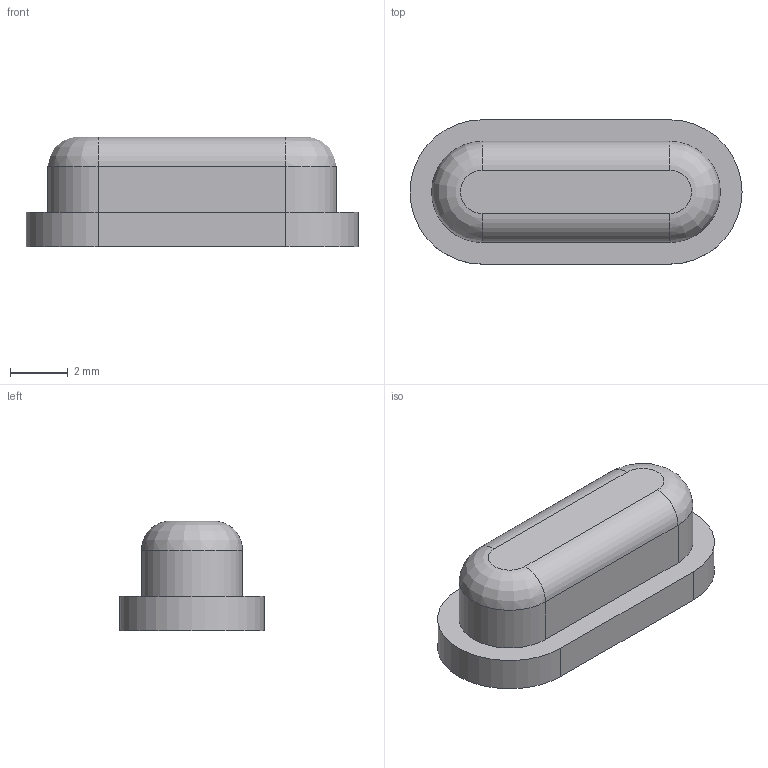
import cadquery as cq

straight_length = 6.5
flange_width = 5.0
flange_thickness = 1.2
button_width = 3.5
total_height = 3.8
top_edge_radius = 1.0

button_height = total_height - flange_thickness


def obround(width, height, base_z):
    """Upright prism with semicircular ends, long axis along X."""
    return (
        cq.Workplane("XY")
        .workplane(offset=base_z)
        .slot2D(straight_length + width, width)
        .extrude(height)
    )


flange = obround(flange_width, flange_thickness, 0)

button = obround(button_width, button_height, flange_thickness)
button = button.faces(">Z").edges().fillet(top_edge_radius)

result = flange.union(button)